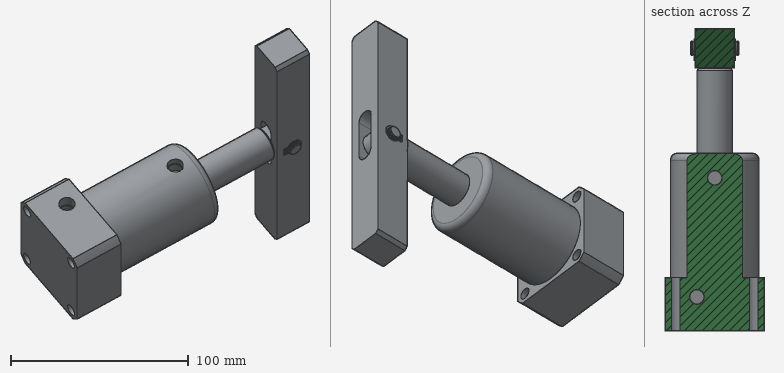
import cadquery as cq

TOTAL_LENGTH = 170.0

BASE_SIDE = 56.0
BASE_LENGTH = 30.0
BASE_CORNER_RADIUS = 36.7
BARREL_DIAMETER = 50.0
BARREL_LENGTH = 70.0
BARREL_FILLET = 4.0
BARREL_END = BASE_LENGTH + BARREL_LENGTH
MOUNT_HOLE_DIAMETER = 6.8
MOUNT_HOLE_SPACING = 43.9

PORT_MOUTH_DIAMETER = 9.0
PORT_BORE_DIAMETER = 8.0
PORT_DEPTH = 10.0
BARREL_PORT_Y = 86.0
BARREL_PORT_MOUTH_DEPTH = 4.2
BASE_PORT_X = -10.0
BASE_PORT_Y = 19.0
BASE_PORT_MOUTH_DEPTH = 7.0

ARM_SIDE = 22.1
ARM_HEIGHT = 160.0
ARM_CHAMFER = 2.0
ARM_CENTRE_Y = TOTAL_LENGTH - ARM_SIDE / 2
ARM_FRONT_Y = TOTAL_LENGTH - ARM_SIDE
SLOT_WIDTH = 10.0
SLOT_HEIGHT = 35.0

ROD_DIAMETER = 20.0
ROD_CHAMFER = 1.0
ROD_ARM_GAP = 0.3
ROD_SHOULDER_Y = ARM_FRONT_Y - ROD_ARM_GAP
TONGUE_HEIGHT = 16.0

PIN_DIAMETER = 8.0
PIN_LENGTH = 27.2
PIN_CHAMFER = 0.5
GROOVE_DIAMETER = 7.5
GROOVE_WIDTH = 1.4
RING_THICKNESS = 0.7
RING_DIAMETER = 9.7
RING_OFFSET = 0.3
EAR_REACH = 6.8
EAR_HEIGHT = 4.8
EAR_TIP_FILLET = 0.5
EAR_GAP = 1.0
EAR_HOLE_DIAMETER = 1.4
EAR_HOLE_SPACING = 1.4
EAR_HOLE_REACH = 5.0


def cylinder_along_y(diameter, start, end):
    return cq.Workplane("XZ", origin=(0, start, 0)).circle(diameter / 2).extrude(start - end)


def cylinder_along_x(diameter, start, end, centre_y=ARM_CENTRE_Y):
    return cq.Workplane("YZ", origin=(start, centre_y, 0)).circle(diameter / 2).extrude(end - start)


def port(x, y, surface_z, mouth_depth):
    top = cq.Workplane("XY", origin=(x, y, surface_z))
    mouth = top.circle(PORT_MOUTH_DIAMETER / 2).extrude(-mouth_depth)
    bore = top.circle(PORT_BORE_DIAMETER / 2).extrude(-PORT_DEPTH)
    return mouth.union(bore)


def make_housing():
    base = cq.Workplane("XZ").rect(BASE_SIDE, BASE_SIDE).extrude(-BASE_LENGTH)
    base = base.intersect(cylinder_along_y(2 * BASE_CORNER_RADIUS, 0, BASE_LENGTH))
    mount_holes = (
        cq.Workplane("XZ")
        .rect(MOUNT_HOLE_SPACING, MOUNT_HOLE_SPACING, forConstruction=True)
        .vertices()
        .circle(MOUNT_HOLE_DIAMETER / 2)
        .extrude(-BASE_LENGTH)
    )
    barrel = cylinder_along_y(BARREL_DIAMETER, BASE_LENGTH, BARREL_END)
    barrel = barrel.faces(">Y").edges().fillet(BARREL_FILLET)
    barrel_port = port(0, BARREL_PORT_Y, BARREL_DIAMETER / 2, BARREL_PORT_MOUTH_DEPTH)
    base_port = port(BASE_PORT_X, BASE_PORT_Y, BASE_SIDE / 2, BASE_PORT_MOUTH_DEPTH)
    return base.cut(mount_holes).union(barrel).cut(barrel_port).cut(base_port)


def make_rod():
    shaft = cylinder_along_y(ROD_DIAMETER, BARREL_END, ROD_SHOULDER_Y)
    shaft = shaft.faces(">Y").edges().chamfer(ROD_CHAMFER)
    tongue_length = ARM_CENTRE_Y - ROD_SHOULDER_Y
    tongue = cq.Workplane("XY").box(SLOT_WIDTH, tongue_length, TONGUE_HEIGHT)
    tongue = tongue.translate((0, ROD_SHOULDER_Y + tongue_length / 2, 0))
    tip = cylinder_along_x(TONGUE_HEIGHT, -SLOT_WIDTH / 2, SLOT_WIDTH / 2)
    pin_hole = cylinder_along_x(PIN_DIAMETER, -SLOT_WIDTH / 2, SLOT_WIDTH / 2)
    return shaft.union(tongue).union(tip).cut(pin_hole)


def make_arm():
    bar = cq.Workplane("XY").box(ARM_SIDE, ARM_SIDE, ARM_HEIGHT)
    bar = bar.faces("<Z or >Z").edges("|Y").chamfer(ARM_CHAMFER)
    bar = bar.translate((0, ARM_CENTRE_Y, 0))
    front = cq.Workplane("XZ", origin=(0, ARM_FRONT_Y, 0))
    slot = front.slot2D(SLOT_HEIGHT, SLOT_WIDTH, 90).extrude(-ARM_SIDE)
    pin_hole = cylinder_along_x(PIN_DIAMETER, -ARM_SIDE / 2, ARM_SIDE / 2)
    return bar.cut(slot).cut(pin_hole)


def make_pin():
    pin = cylinder_along_x(PIN_DIAMETER, -PIN_LENGTH / 2, PIN_LENGTH / 2)
    pin = pin.faces("<X or >X").edges().chamfer(PIN_CHAMFER)
    for start in (-ARM_SIDE / 2 - GROOVE_WIDTH, ARM_SIDE / 2):
        end = start + GROOVE_WIDTH
        groove = cylinder_along_x(PIN_DIAMETER, start, end).cut(cylinder_along_x(GROOVE_DIAMETER, start, end))
        pin = pin.cut(groove)
    return pin


def make_ring(start):
    """An external retaining ring with two eared ends pointing to -Y."""
    end = start + RING_THICKNESS
    face = cq.Workplane("YZ", origin=(start, ARM_CENTRE_Y, 0))
    ring = cylinder_along_x(RING_DIAMETER, start, end, ARM_CENTRE_Y + RING_OFFSET)
    ears = face.center(-EAR_REACH / 2, 0).rect(EAR_REACH, EAR_HEIGHT).extrude(RING_THICKNESS)
    ears = ears.faces("<Y").edges("|X").fillet(EAR_TIP_FILLET)
    gap = face.center(-EAR_REACH / 2, 0).rect(EAR_REACH, EAR_GAP).extrude(RING_THICKNESS)
    ear_holes = (
        face.pushPoints([(-EAR_HOLE_REACH, side * EAR_HOLE_SPACING / 2) for side in (-1, 1)])
        .circle(EAR_HOLE_DIAMETER / 2)
        .extrude(RING_THICKNESS)
    )
    seat = cylinder_along_x(GROOVE_DIAMETER, start, end)
    return ring.union(ears).cut(gap).cut(ear_holes).cut(seat)


housing = make_housing()
rod = make_rod()
arm = make_arm()
pin = make_pin()
rings = [make_ring(start) for start in (-ARM_SIDE / 2 - RING_THICKNESS, ARM_SIDE / 2)]

result = cq.Compound.makeCompound(
    [housing.val(), rod.val(), arm.val(), pin.val(), *[ring.val() for ring in rings]]
)